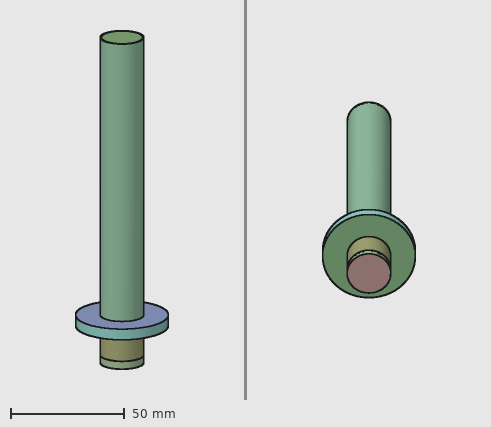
import cadquery as cq

total_height = 150.1
post_diameter = 19.2

cap_height = 3.6

bore_diameter = 18.2
flange_diameter = 40.8
flange_bottom = 17.1
flange_thickness = 5.0


def cylinder(diameter, bottom, top):
    """Cylinder about the Z axis between two heights."""
    return cq.Workplane("XY").workplane(offset=bottom).circle(diameter / 2).extrude(top - bottom)


def make_end_cap():
    """Disc of the post diameter below the sleeve and core."""
    return cylinder(post_diameter, 0, cap_height)


def make_flanged_sleeve():
    """Tube from the end cap to the top of the post, with a flange near its lower end."""
    tube = cylinder(post_diameter, cap_height, total_height)
    flange = cylinder(flange_diameter, flange_bottom, flange_bottom + flange_thickness)
    bore = cylinder(bore_diameter, cap_height, total_height)
    return tube.union(flange).cut(bore)


def make_core():
    """Rod that fills the sleeve bore, flush with its top and resting on the end cap."""
    return cylinder(bore_diameter, cap_height, total_height)


end_cap = make_end_cap()
flanged_sleeve = make_flanged_sleeve()
core = make_core()

result = cq.Compound.makeCompound([end_cap.val(), flanged_sleeve.val(), core.val()])